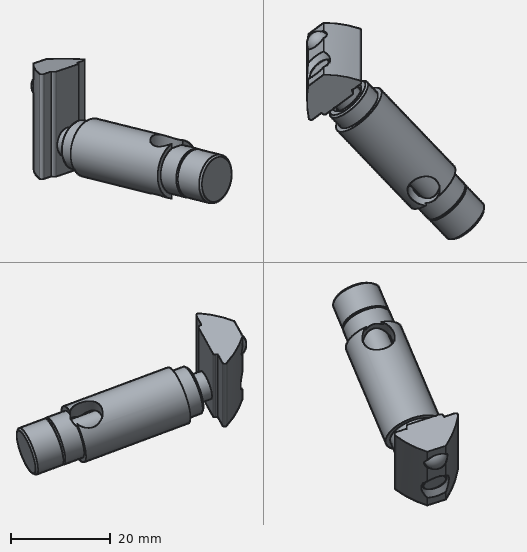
import cadquery as cq
import math

axis_plane = "YZ"
edge_chamfer = 0.4

nut_height = 22.0
nut_bottom = -6.5
nose_half_width = 2.0
flank_radius = 20.0
wing_half_width = 6.75
wing_back_x = 6.4
wing_radius = 0.5
wing_slope = math.radians(30)
rib_back_x = 7.2
rib_root_half_width = 4.0
rib_back_half_width = 3.75
rib_edge_radius = 0.4
ball_diameter = 5.0
ball_protrusion = 1.5
ball_z = 10.5
thread_core_diameter = 4.92
countersink_diameter = 7.7

shank_diameter = 6.0
tip_diameter = 4.8
tip_x = 1.0
head_diameter = 10.0
head_length = 6.0

sleeve_start_x = 9.8
sleeve_length = 31.0
sleeve_end_diameter = 10.1
sleeve_bore_diameter = 6.5
collar_diameter = 12.0
collar_offset = 3.5
collar_length = 23.0
cross_hole_diameter = 6.5
cross_hole_x = 33.5

head_start_x = sleeve_start_x + sleeve_length

wing_center_x = wing_back_x - wing_radius
wing_center_y = wing_half_width - wing_radius
flank_end_x = wing_center_x - wing_radius * math.sin(wing_slope)
flank_end_y = wing_center_y + wing_radius * math.cos(wing_slope)


def cylinder(start_x, length, diameter):
    """Solid cylinder along the screw axis."""
    return cq.Workplane(axis_plane, origin=(start_x, 0, 0)).circle(diameter / 2).extrude(length)


def make_screw():
    """Cap screw with a chamfered tip; the head closes the far end of the sleeve."""
    tip_chamfer = (shank_diameter - tip_diameter) / 2
    shank = cylinder(tip_x, head_start_x - tip_x, shank_diameter).faces("<X").chamfer(tip_chamfer)
    head = cylinder(head_start_x, head_length, head_diameter).faces(">X").chamfer(edge_chamfer)
    return shank.union(head)


def flank_middle():
    """Middle point of the convex arc from the nose to the wing tip (+Y side)."""
    run = flank_end_x
    rise = flank_end_y - nose_half_width
    chord = math.hypot(run, rise)
    bulge = flank_radius - math.sqrt(flank_radius**2 - (chord / 2) ** 2)
    return (
        run / 2 - bulge * rise / chord,
        nose_half_width + rise / 2 + bulge * run / chord,
    )


def nut_block():
    """Symmetric T-slot profile extruded along Z."""
    half_profile = (
        cq.Workplane("XY", origin=(0, 0, nut_bottom))
        .lineTo(0, nose_half_width)
        .threePointArc(flank_middle(), (flank_end_x, flank_end_y))
        .threePointArc((wing_center_x, wing_half_width), (wing_back_x, wing_center_y))
        .lineTo(wing_back_x, rib_root_half_width)
        .lineTo(rib_back_x, rib_back_half_width)
        .lineTo(rib_back_x, 0)
        .close()
        .extrude(nut_height)
    )
    block = half_profile.union(half_profile.mirror("XZ"))
    return block.faces(">X").edges("|Z").fillet(rib_edge_radius)


def countersink():
    """45 degree cone from the nose down to the thread core diameter."""
    mouth_radius = countersink_diameter / 2
    core_radius = thread_core_diameter / 2
    depth = mouth_radius - core_radius
    cone = cq.Solid.makeCone(mouth_radius, core_radius, depth, cq.Vector(0, 0, 0), cq.Vector(1, 0, 0))
    return cq.Workplane(cone)


def add_detent_ball(block):
    """Drill the ball pocket down to the ball's equator, then seat the ball's front half on its floor."""
    ball_radius = ball_diameter / 2
    pocket_depth = ball_radius - ball_protrusion
    pocket = cylinder(-ball_protrusion, ball_radius, ball_diameter).translate((0, 0, ball_z))
    ball = cq.Workplane(origin=(pocket_depth, 0, ball_z)).sphere(ball_radius)
    return block.cut(pocket).union(ball.intersect(pocket))


def make_nut(screw):
    """Slot nut with its detent ball and a countersunk hole that the screw fills."""
    return add_detent_ball(nut_block()).cut(countersink()).cut(screw)


def make_sleeve():
    """Bored sleeve with a thicker collar, a chamfered bore mouth and a cross hole along Z."""
    tube = cylinder(sleeve_start_x, sleeve_length, sleeve_end_diameter).faces("<X or >X").chamfer(edge_chamfer)
    collar = cylinder(sleeve_start_x + collar_offset, collar_length, collar_diameter)
    bore = cylinder(sleeve_start_x, sleeve_length, sleeve_bore_diameter)
    cross_hole = (
        cq.Workplane(origin=(cross_hole_x, 0, -collar_diameter / 2))
        .circle(cross_hole_diameter / 2)
        .extrude(collar_diameter)
    )
    bored = tube.union(collar).cut(bore)
    mouth = bored.faces("<X").edges("%CIRCLE").edges(cq.selectors.RadiusNthSelector(0))
    return mouth.chamfer(edge_chamfer).cut(cross_hole)


screw = make_screw()
nut = make_nut(screw)
sleeve = make_sleeve()

result = cq.Compound.makeCompound([body.solids().val() for body in (nut, screw, sleeve)])